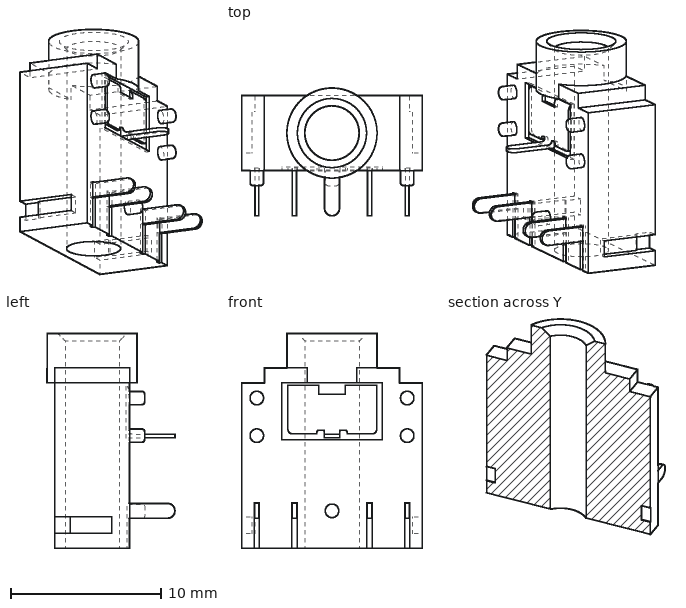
import cadquery as cq


body_width = 12.0
body_depth = 5.0
shoulder_height = 11.0
top_block_width = 9.0
top_block_height = 12.0
front_y = -body_depth / 2

barrel_diameter = 6.0
overall_height = 14.3
bore_diameter = 3.6
mouth_chamfer = 0.5

stud_diameter = 0.9
stud_length = 1.0
stud_edge_radius = 0.2
stud_centers = [(-5.0, 10.0), (5.0, 10.0), (-5.0, 7.5), (5.0, 7.5), (0.0, 2.5)]

terminal_tip_y = -5.51
terminal_width = 1.0
terminal_root_depth = 0.5

upright_terminals = [(-5.0, 0.27), (-2.5, 0.3), (2.5, 0.3), (5.0, 0.27)]
upright_center_z = 2.5
slot_clearance = 0.05
slot_depth = 0.2

window_width = 6.65
window_bottom_z = 7.22
window_depth = 0.25

plate_center_x = 0.02
plate_width = 5.9
plate_top_z = 10.9
plate_bottom_z = 7.62
plate_recess = 0.05
plate_corner_radius = 0.3
plate_bend_radius = 0.43
plate_notch_width = 1.78
plate_notch_bottom_z = 10.26

leg_width = terminal_width
leg_thickness = 0.25
leg_top_z = 7.6
leg_bend_radius = 0.27
relief_width = 2.0
relief_top_z = leg_top_z + leg_bend_radius
relief_corner_radius = 0.14

side_recess_bottom_z = 1.0
side_recess_top_z = 2.1
side_recess_front_y = -1.3
side_recess_depth = 0.65
side_recess_step_y = 1.45
side_recess_back_depth = 0.85


def box_between(x_range, y_range, z_range):
    """Box spanning the given (low, high) range along each axis."""
    sizes = [high - low for low, high in (x_range, y_range, z_range)]
    corner = (x_range[0], y_range[0], z_range[0])
    return cq.Workplane("XY").box(*sizes, centered=False).translate(corner)


def centered_range(width, center=0.0):
    return (center - width / 2, center + width / 2)


def make_housing():
    depth_range = centered_range(body_depth)
    main_block = box_between(centered_range(body_width), depth_range, (0, shoulder_height))
    top_block = box_between(centered_range(top_block_width), depth_range, (0, top_block_height))
    barrel = (
        cq.Workplane("XY")
        .workplane(offset=shoulder_height)
        .circle(barrel_diameter / 2)
        .extrude(overall_height - shoulder_height)
    )
    return main_block.union(top_block).union(barrel)


def make_bore():
    """Through bore with a 45 degree conical mouth."""
    bore_radius = bore_diameter / 2
    mouth_radius = bore_radius + mouth_chamfer
    return (
        cq.Workplane("XZ")
        .moveTo(0, 0)
        .lineTo(bore_radius, 0)
        .lineTo(bore_radius, overall_height - mouth_chamfer)
        .lineTo(mouth_radius, overall_height)
        .lineTo(0, overall_height)
        .close()
        .revolve(360, (0, 0, 0), (0, 1, 0))
    )


def make_side_recess():
    """Recess in the -X side, deeper towards the back."""
    side_x = -body_width / 2
    back_y = body_depth / 2
    z_range = (side_recess_bottom_z, side_recess_top_z)
    shallow = box_between((side_x, side_x + side_recess_depth), (side_recess_front_y, back_y), z_range)
    deep = box_between((side_x, side_x + side_recess_back_depth), (side_recess_step_y, back_y), z_range)
    return shallow.union(deep)


def make_window():
    return box_between(
        centered_range(window_width),
        (front_y, front_y + window_depth),
        (window_bottom_z, shoulder_height),
    )


def make_contact_plate():
    """Raised plate on the window floor with a rolled top edge and a top notch."""
    plate_front_y = front_y + plate_recess
    plate_back_y = plate_front_y + plate_bend_radius
    plate_y = (plate_front_y, plate_back_y)
    plate = (
        box_between(centered_range(plate_width, plate_center_x), plate_y, (plate_bottom_z, plate_top_z))
        .edges("|Y and <Z")
        .fillet(plate_corner_radius)
    )
    top_roll_cut = box_between(
        centered_range(plate_width, plate_center_x),
        plate_y,
        (plate_top_z - plate_bend_radius, plate_top_z),
    ).cut(
        cq.Workplane("YZ")
        .workplane(offset=-plate_width)
        .center(plate_back_y, plate_top_z - plate_bend_radius)
        .circle(plate_bend_radius)
        .extrude(2 * plate_width)
    )
    notch = box_between(centered_range(plate_notch_width), plate_y, (plate_notch_bottom_z, plate_top_z))
    plate = plate.cut(top_roll_cut).cut(notch)
    relief_side_width = (relief_width - leg_width) / 2
    relief_center_x = (relief_width + leg_width) / 4
    for side in (-1, 1):
        relief = (
            box_between(
                centered_range(relief_side_width, side * relief_center_x),
                plate_y,
                (plate_bottom_z, relief_top_z),
            )
            .edges("|Y and >Z")
            .fillet(relief_corner_radius)
        )
        plate = plate.cut(relief)
    return plate


def make_bent_leg():
    """Contact leg bending from the plate face to run forward along -Y."""
    plate_front_y = front_y + plate_recess
    root_y = front_y + terminal_root_depth
    bend_start_y = plate_front_y - leg_bend_radius
    tip_radius = leg_width / 2
    tip_center_y = terminal_tip_y + tip_radius
    leg_bottom_z = leg_top_z - leg_thickness
    x_range = centered_range(leg_width)
    bend = box_between(x_range, (bend_start_y, root_y), (leg_bottom_z, relief_top_z)).cut(
        cq.Workplane("YZ")
        .workplane(offset=-leg_width)
        .center(bend_start_y, relief_top_z)
        .circle(leg_bend_radius)
        .extrude(2 * leg_width)
    )
    straight = box_between(x_range, (tip_center_y, bend_start_y), (leg_bottom_z, leg_top_z))
    tip = (
        cq.Workplane("XY")
        .workplane(offset=leg_bottom_z)
        .center(0, tip_center_y)
        .circle(tip_radius)
        .extrude(leg_thickness)
    )
    return bend.union(straight).union(tip)


def make_upright_slot(x, thickness):
    """Shallow insertion slot running from the terminal down to the housing base."""
    return box_between(
        centered_range(thickness + slot_clearance, x),
        (front_y, front_y + slot_depth),
        (0, upright_center_z + terminal_width / 2 + slot_clearance),
    )


def make_upright_terminal(x, thickness):
    tip_radius = terminal_width / 2
    tip_center_y = terminal_tip_y + tip_radius
    blade = box_between(
        centered_range(thickness, x),
        (tip_center_y, front_y + terminal_root_depth),
        centered_range(terminal_width, upright_center_z),
    )
    tip = (
        cq.Workplane("YZ")
        .workplane(offset=x - thickness / 2)
        .center(tip_center_y, upright_center_z)
        .circle(tip_radius)
        .extrude(thickness)
    )
    return blade.union(tip)


def make_studs():
    return (
        cq.Workplane("XZ")
        .workplane(offset=-front_y)
        .pushPoints(stud_centers)
        .circle(stud_diameter / 2)
        .extrude(stud_length)
        .faces("<Y")
        .edges()
        .fillet(stud_edge_radius)
    )


side_recess = make_side_recess()
result = make_housing().cut(side_recess).cut(side_recess.mirror("YZ")).cut(make_window())
result = result.union(make_contact_plate()).union(make_bent_leg())
for terminal_x, sheet_thickness in upright_terminals:
    result = result.cut(make_upright_slot(terminal_x, sheet_thickness))
    result = result.union(make_upright_terminal(terminal_x, sheet_thickness))
result = result.union(make_studs()).cut(make_bore())